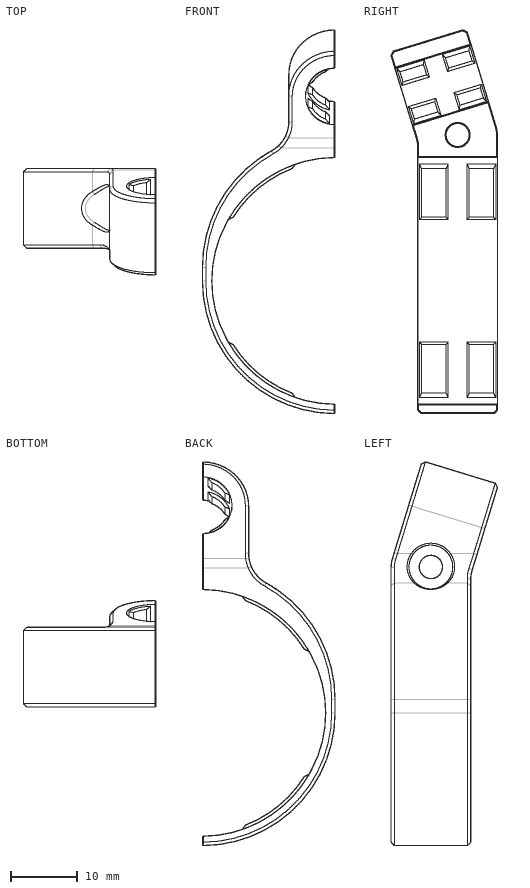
import cadquery as cq
import math


total_height = 57.6

ring_radius = 19.9
ring_bore_radius = 18.5
ring_center_z = ring_radius
upper_rise = 2.0
strip_width = 12.0
edge_chamfer = 0.5
cut_plane_chamfer = 0.145

head_radius = 6.95
head_bore_radius = 4.45
head_tilt = 17
head_reach = 8.2
neck_fillet = 5.0
bend_fillet = 5.0

screw_z = 41.8
screw_radius = 1.7
counterbore_radius = 3.3
counterbore_floor_x = -4.0
counterbore_chamfer = 0.3

rib_height = 0.45
rib_base_width = 4.6
rib_edge_gap = 0.1
rib_flank = 0.7
rib_start_angle = 21
rib_end_angle = 58

half_width = strip_width / 2
oversize = 4 * ring_radius
tolerance = 0.005
tilt_rad = math.radians(head_tilt)
bend_z = (
    total_height
    - (head_reach + head_radius) * math.cos(tilt_rad)
    - (half_width - edge_chamfer) * math.sin(tilt_rad)
)


def tilt_to_head(shape):
    """Place a shape built around the Y axis on the axis of the eye."""
    return (
        shape.translate((0, 0, head_reach))
        .rotate((0, 0, 0), (1, 0, 0), head_tilt)
        .translate((0, 0, bend_z))
    )


def extrude_both_ways(sketch):
    return sketch.extrude(oversize, both=True)


def arc_point(center_x, center_z, radius, angle):
    """Point on a circle in the XZ plane; the angle runs from +X toward +Z."""
    return (center_x + radius * math.cos(angle), center_z + radius * math.sin(angle))


def make_outer_block():
    """Outer skin of ring, neck and head, still filled up to the cut plane."""
    upper_z = ring_center_z + upper_rise
    fillet_x = -head_radius - neck_fillet
    center_distance = ring_radius + neck_fillet
    fillet_z = upper_z + math.sqrt(center_distance**2 - fillet_x**2)
    meet_angle = math.atan2(fillet_z - upper_z, fillet_x)
    fillet_angle = meet_angle - math.pi

    skin = extrude_both_ways(
        cq.Workplane("XZ")
        .moveTo(0, 0)
        .threePointArc(
            arc_point(0, ring_center_z, ring_radius, -0.75 * math.pi),
            (-ring_radius, ring_center_z),
        )
        .lineTo(-ring_radius, upper_z)
        .threePointArc(
            arc_point(0, upper_z, ring_radius, (math.pi + meet_angle) / 2),
            arc_point(0, upper_z, ring_radius, meet_angle),
        )
        .threePointArc(
            arc_point(fillet_x, fillet_z, neck_fillet, fillet_angle / 2),
            (-head_radius, fillet_z),
        )
        .lineTo(-head_radius, oversize)
        .lineTo(0, oversize)
        .close()
    )

    mitre_rise = half_width * math.tan(tilt_rad / 2)
    lean = oversize * math.tan(tilt_rad)
    strip = extrude_both_ways(
        cq.Workplane("YZ").polyline([
            (half_width, -ring_radius),
            (half_width, bend_z + mitre_rise),
            (half_width - lean, bend_z + mitre_rise + oversize),
            (-half_width - lean, bend_z - mitre_rise + oversize),
            (-half_width, bend_z - mitre_rise),
            (-half_width, -ring_radius),
        ]).close()
    )
    bend_box = cq.selectors.BoxSelector(
        (-oversize, -strip_width, bend_z - half_width), (oversize, strip_width, bend_z + half_width)
    )
    strip = strip.edges("|X").edges(bend_box).fillet(bend_fillet)

    envelope = tilt_to_head(extrude_both_ways(
        cq.Workplane("XZ")
        .moveTo(0, head_radius)
        .threePointArc(arc_point(0, 0, head_radius, 0.75 * math.pi), (-head_radius, 0))
        .lineTo(-oversize, 0)
        .lineTo(-oversize, -oversize)
        .lineTo(0, -oversize)
        .close()
    ))
    return skin.intersect(strip).intersect(envelope)


def is_side_edge(edge):
    """Edges where the skin meets a side face, not those across the strip or in the cut plane."""
    box = edge.BoundingBox()
    return box.ylen < half_width and box.xmin < -tolerance


def chamfer_side_edges(block):
    side_edges = block.edges("not |X").filter(is_side_edge)
    return side_edges.chamfer(edge_chamfer)


def is_counterbore_rim(edge):
    """Curved edges lying outside the floor of the counterbore and within its radius of the axis."""
    box = edge.BoundingBox()
    reach = counterbore_radius + tolerance
    near_axis = (
        box.ymin > -reach
        and box.ymax < reach
        and box.zmin > screw_z - reach
        and box.zmax < screw_z + reach
    )
    return near_axis and edge.geomType() != "LINE" and box.xmax < counterbore_floor_x - tolerance


def cut_screw_hole(block):
    hole = extrude_both_ways(cq.Workplane("YZ").center(0, screw_z).circle(screw_radius))
    counterbore = (
        cq.Workplane("YZ", origin=(counterbore_floor_x, 0, screw_z))
        .circle(counterbore_radius)
        .extrude(-oversize)
    )
    counterbored = block.cut(counterbore)
    rim = counterbored.edges().filter(is_counterbore_rim)
    return rim.chamfer(counterbore_chamfer).cut(hole)


def make_ribs(bore_radius):
    """Four ribs with sloping flanks and ends, lining a bore around the Y axis."""
    foot_radius = bore_radius + rib_height
    top_radius = bore_radius - rib_height
    end_slope = math.degrees(rib_flank / top_radius)
    start_angle = rib_start_angle - end_slope
    sweep_angle = rib_end_angle + end_slope - start_angle
    rib_center_y = half_width - rib_edge_gap - rib_base_width / 2
    bore_axis = (-(foot_radius + top_radius) / 2, 0)
    lower_rib = (
        cq.Workplane("XY")
        .center((foot_radius + top_radius) / 2, rib_center_y)
        .rect(foot_radius - top_radius, rib_base_width)
        .revolve(sweep_angle, bore_axis, (bore_axis[0], 1))
        .rotate((0, 0, 0), (0, 1, 0), 90 + start_angle)
    )
    top_face = lower_rib.faces("%CYLINDER").sort(lambda face: face.Area())[0]
    lower_rib = top_face.edges().chamfer(rib_flank, rib_height)
    lower_pair = lower_rib.union(lower_rib.mirror("XZ"))
    return lower_pair.union(lower_pair.mirror("XY"))


block = cut_screw_hole(chamfer_side_edges(make_outer_block()))
ring_bore = extrude_both_ways(cq.Workplane("XZ").circle(ring_bore_radius)).translate((0, 0, ring_center_z))
head_bore = tilt_to_head(extrude_both_ways(cq.Workplane("XZ").circle(head_bore_radius)))
ring_ribs = make_ribs(ring_bore_radius).translate((0, 0, ring_center_z))
head_ribs = tilt_to_head(make_ribs(head_bore_radius))
half_clamp = block.cut(ring_bore).cut(head_bore).union(ring_ribs).union(head_ribs)
result = half_clamp.faces(">X").edges().chamfer(cut_plane_chamfer)